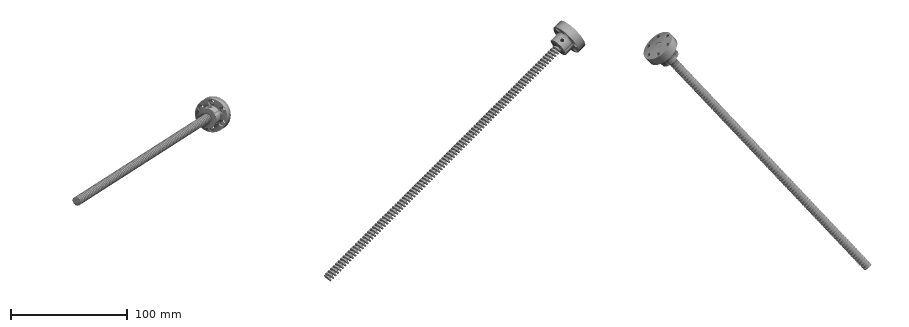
import cadquery as cq
import math

length = 308.0

flange_diameter = 30.0
flange_thickness = 8.0
hub_diameter = 18.0
hub_length = 10.0

mount_hole_count = 6
mount_circle_diameter = 22.8
mount_hole_diameter = 4.0
mount_counterbore_diameter = 6.0
mount_counterbore_depth = 3.0

set_screw_diameter = 3.5
set_screw_spotface_diameter = 6.0
set_screw_spotface_z = 8.0
set_screw_y = -(flange_thickness + hub_length / 2)

major_diameter = 8.0
root_diameter = 3.5
turns = 99.4
crest_width = 1.1
root_width = 0.75
thread_start_angle = -38.0
segment_count = 20
flank_points = 12

pitch = length / turns
segment_length = length / segment_count
segment_twist = 360 * turns / segment_count


def y_cylinder(diameter, start, depth):
    """Cylinder around the Y axis, from Y = start toward -Y."""
    return cq.Workplane("XZ", origin=(0, start, 0)).circle(diameter / 2).extrude(depth)


def mounting_holes():
    """Cutters for the through holes, with counterbores that also notch the hub."""
    start_points = (
        cq.Workplane("XZ").polarArray(mount_circle_diameter / 2, 90, 360, mount_hole_count)
    )
    holes = start_points.circle(mount_hole_diameter / 2).extrude(flange_thickness)
    counterbores = (
        cq.Workplane("XZ", origin=(0, mount_counterbore_depth - flange_thickness, 0))
        .polarArray(mount_circle_diameter / 2, 90, 360, mount_hole_count)
        .circle(mount_counterbore_diameter / 2)
        .extrude(mount_counterbore_depth + hub_length)
    )
    return holes.union(counterbores)


def set_screw_hole():
    """Cutter from the screw axis out through the +Z side of the hub, with its spotface."""
    hole = (
        cq.Workplane("XY", origin=(0, set_screw_y, 0))
        .circle(set_screw_diameter / 2)
        .extrude(hub_diameter / 2)
    )
    spotface = (
        cq.Workplane("XY", origin=(0, set_screw_y, set_screw_spotface_z))
        .circle(set_screw_spotface_diameter / 2)
        .extrude(hub_diameter / 2 - set_screw_spotface_z)
    )
    return hole.union(spotface)


def make_flange():
    disc = y_cylinder(flange_diameter, 0, flange_thickness)
    hub = y_cylinder(hub_diameter, 0, flange_thickness + hub_length)
    bore = y_cylinder(major_diameter, 0, flange_thickness + hub_length)
    return disc.union(hub).cut(bore).cut(mounting_holes()).cut(set_screw_hole())


def thread_section():
    """Cross-section of the threaded rod: crest arc, root arc and a spiral flank on each side."""
    major_radius = major_diameter / 2
    root_radius = root_diameter / 2
    crest_end = math.pi * crest_width / pitch
    root_end = math.pi * (1 - root_width / pitch)

    def spiral(t):
        """Point on the flank, from the crest (t = 0) to the root (t = 1)."""
        radius = major_radius + (root_radius - major_radius) * t
        angle = crest_end + (root_end - crest_end) * t
        return (radius * math.cos(angle), radius * math.sin(angle))

    def mirrored_spiral(t):
        """Point on the opposite flank, from the root back to the crest."""
        x, y = spiral(1 - t)
        return (x, -y)

    return (
        cq.Workplane("XZ")
        .transformed(rotate=(0, 0, thread_start_angle))
        .moveTo(*mirrored_spiral(1))
        .threePointArc((major_radius, 0), spiral(0))
        .parametricCurve(spiral, N=flank_points, makeWire=False)
        .threePointArc((-root_radius, 0), mirrored_spiral(0))
        .parametricCurve(mirrored_spiral, N=flank_points, makeWire=False)
        .close()
    )


def make_lead_screw():
    """Rod swept by twisting its section, one segment after another, and sewn into one solid."""
    segment = thread_section().twistExtrude(segment_length, segment_twist)
    segments = [
        segment.rotate((0, 0, 0), (0, 1, 0), -i * segment_twist).translate((0, -i * segment_length, 0))
        for i in range(segment_count)
    ]
    skin = segments[0].faces(">Y").vals() + segments[-1].faces("<Y").vals()
    for piece in segments:
        skin += piece.faces("not %PLANE").vals()
    return cq.Solid.makeSolid(cq.Shell.makeShell(skin))


flange = make_flange()
lead_screw = make_lead_screw()

result = cq.Compound.makeCompound([flange.val(), lead_screw])